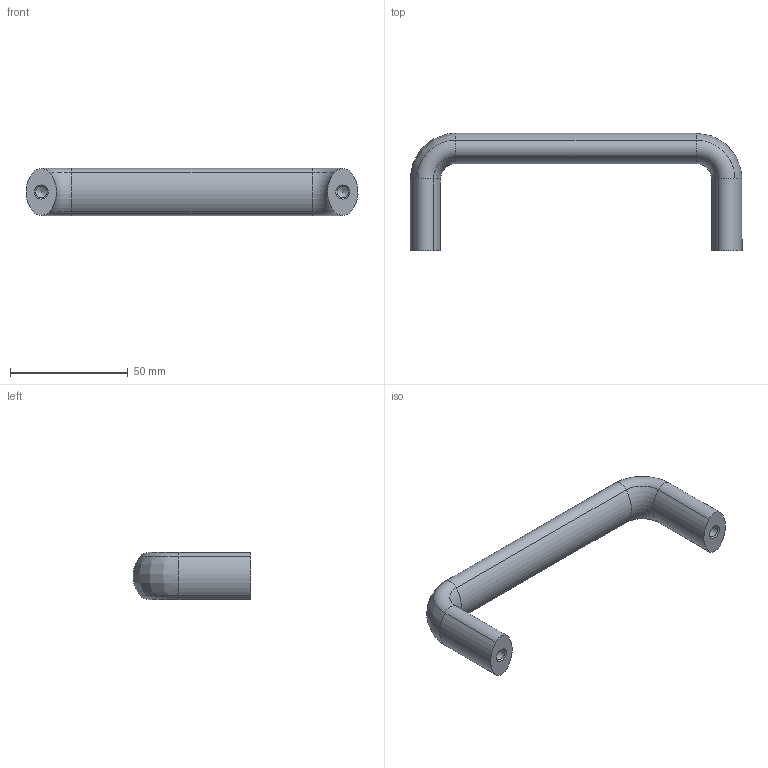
import cadquery as cq
import math

hole_spacing = 128.0
handle_depth = 50.0
bar_width = 13.0
bar_height = 20.0

side_radius = 13.0

bend_radius = 13.0

hole_diameter = 4.92
mouth_diameter = 6.0
hole_depth = 15.0
drill_point_angle = 118.0

half_spacing = hole_spacing / 2
half_width = bar_width / 2
half_height = bar_height / 2
grip_y = handle_depth - half_width


def oval_section():
    """Four-arc oval in the XZ plane, centred on the left leg, tangent where arcs meet."""
    side_offset = side_radius - half_width
    end_radius = (half_height**2 - side_radius**2 + side_offset**2) / (2 * (half_height - side_radius))
    end_offset = half_height - end_radius
    joint_angle = math.atan2(end_offset, side_offset)
    joint_x = end_radius * math.cos(joint_angle)
    joint_z = side_radius * math.sin(joint_angle)
    return (
        cq.Workplane("XZ", origin=(-half_spacing, 0, 0))
        .moveTo(joint_x, joint_z)
        .threePointArc((0, half_height), (-joint_x, joint_z))
        .threePointArc((-half_width, 0), (-joint_x, -joint_z))
        .threePointArc((0, -half_height), (joint_x, -joint_z))
        .threePointArc((half_width, 0), (joint_x, joint_z))
        .close()
    )


def centre_line():
    """U-shaped path up the left leg, along the grip and down the right leg."""
    bend_start_y = grip_y - bend_radius
    bend_end_x = half_spacing - bend_radius
    diagonal = bend_radius * math.sqrt(0.5)
    bend_mid_x = bend_end_x + diagonal
    bend_mid_y = bend_start_y + diagonal
    return (
        cq.Workplane("XY")
        .moveTo(-half_spacing, 0)
        .lineTo(-half_spacing, bend_start_y)
        .threePointArc((-bend_mid_x, bend_mid_y), (-bend_end_x, grip_y))
        .lineTo(bend_end_x, grip_y)
        .threePointArc((bend_mid_x, bend_mid_y), (half_spacing, bend_start_y))
        .lineTo(half_spacing, 0)
    )


def hole_cutter(centre_x):
    """Blind hole along +Y with a 45 degree mouth chamfer and a conical drill point."""
    hole_radius = hole_diameter / 2
    mouth_radius = mouth_diameter / 2
    chamfer_depth = mouth_radius - hole_radius
    point_length = hole_radius / math.tan(math.radians(drill_point_angle / 2))
    return (
        cq.Workplane("XY", origin=(centre_x, 0, 0))
        .moveTo(0, 0)
        .lineTo(mouth_radius, 0)
        .lineTo(hole_radius, chamfer_depth)
        .lineTo(hole_radius, hole_depth)
        .lineTo(0, hole_depth + point_length)
        .close()
        .revolve(360, (0, 0, 0), (0, 1, 0))
    )


result = oval_section().sweep(centre_line())
for leg_x in (-half_spacing, half_spacing):
    result = result.cut(hole_cutter(leg_x))